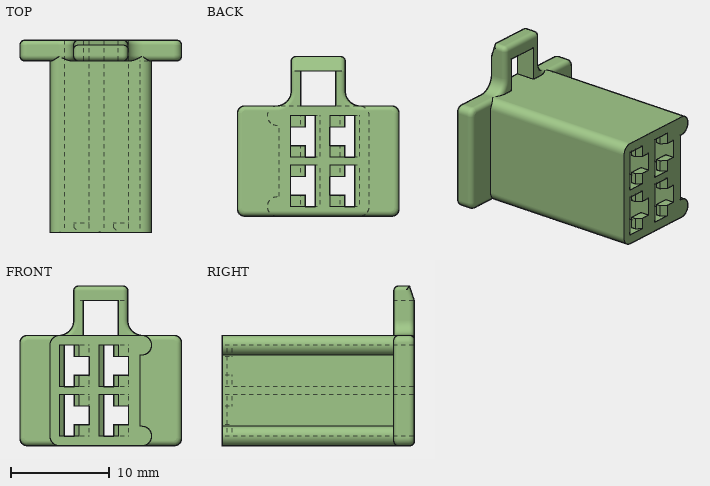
import cadquery as cq


total_length = 19.5
body_width = 10.3
body_height = 11.2
body_corner_radius = 1.0
side_recess_x = 3.98

flange_width = 16.4
flange_thickness = 2.1
flange_corner_radius = 0.76
edge_round = 0.5

tab_width = 5.5
tab_height = 5.01
tab_root_radius = 1.5
tab_slope_height = 1.5
tab_slope_depth = 0.5
window_width = 3.51
window_height = 3.51

column_count = 2
row_count = 2
column_pitch = 4.0
row_pitch = 5.01
slot_left_x = -4.2
slot_width = 2.0
slot_height = 4.2
notch_width = 1.0
notch_height = 1.9
lead_in = 0.5
front_wall = 1.0

body_half = body_width / 2
flange_half = flange_width / 2
tab_half = tab_width / 2
root_half = tab_half + tab_root_radius
root_top = body_height + tab_root_radius
total_height = body_height + tab_height
flange_front = total_length - flange_thickness
slope_bottom = total_height - tab_slope_height
slope_crest_y = total_length - tab_slope_depth
first_slot_z = (body_height - (row_count - 1) * row_pitch - slot_height) / 2

margin = 0.02


def block(x_range, y_range, z_range):
    """Axis-aligned block between the given limits."""
    ranges = (x_range, y_range, z_range)
    sizes = [high - low for low, high in ranges]
    corner = tuple(low for low, _ in ranges)
    return cq.Workplane("XY").box(*sizes, centered=False).translate(corner)


def edges_between(solid, y_range, z_range):
    """Edges of the solid whose centres lie strictly inside the given Y and Z limits."""
    low = (-flange_width, y_range[0], z_range[0])
    high = (flange_width, y_range[1], z_range[1])
    return solid.edges(cq.selectors.BoxSelector(low, high)).vals()


def make_plate():
    """Flange and tab as one plate, with concave arcs where the tab meets the flange."""
    return (
        cq.Workplane("XZ", origin=(0, total_length, 0))
        .moveTo(-flange_half, 0)
        .lineTo(flange_half, 0)
        .lineTo(flange_half, body_height)
        .lineTo(root_half, body_height)
        .radiusArc((tab_half, root_top), tab_root_radius)
        .lineTo(tab_half, total_height)
        .lineTo(-tab_half, total_height)
        .lineTo(-tab_half, root_top)
        .radiusArc((-root_half, body_height), tab_root_radius)
        .lineTo(-flange_half, body_height)
        .close()
        .extrude(flange_thickness)
        .edges("|Y")
        .edges("<X or >X")
        .fillet(flange_corner_radius)
    )


def make_back_slope():
    """Wedge removed from the upper back of the tab."""
    return (
        cq.Workplane("YZ", origin=(-tab_half, 0, 0))
        .moveTo(total_length, slope_bottom)
        .lineTo(total_length, total_height)
        .lineTo(slope_crest_y, total_height)
        .close()
        .extrude(tab_width)
    )


def make_tab_corner_waste():
    """Material outside the two rounded upper corners of the tab."""
    limits = (flange_front, total_length), (slope_bottom, total_height)
    square_top = block((-tab_half, tab_half), *limits)
    round_top = square_top.faces(">Z").edges("|Y").fillet(edge_round)
    return square_top.cut(round_top)


def make_flange():
    """Flange with its sloped and rounded latch tab and the latch window."""
    flange = make_plate().cut(make_back_slope())

    slope_sides = edges_between(
        flange,
        (slope_crest_y + margin, total_length - margin),
        (slope_bottom, total_height),
    )
    back_outline = edges_between(
        flange,
        (total_length - margin, total_length + margin),
        (-margin, slope_bottom - margin),
    )
    flange = flange.newObject(slope_sides + back_outline).fillet(edge_round)

    flange = flange.cut(make_tab_corner_waste())
    flange = flange.faces("<Y").edges().fillet(edge_round)

    window = block(
        (-window_width / 2, window_width / 2),
        (flange_front, total_length),
        (body_height, body_height + window_height),
    )
    return flange.cut(window)


def make_body():
    """Housing body with rounded left corners and a right side recessed between two round lips."""
    radius = body_corner_radius
    lip_depth = 2 * radius
    arc_x = body_half - radius
    return (
        cq.Workplane("XZ")
        .moveTo(-arc_x, 0)
        .lineTo(arc_x, 0)
        .threePointArc((body_half, radius), (arc_x, lip_depth))
        .lineTo(side_recess_x, lip_depth)
        .lineTo(side_recess_x, body_height - lip_depth)
        .lineTo(arc_x, body_height - lip_depth)
        .threePointArc((body_half, body_height - radius), (arc_x, body_height))
        .lineTo(-arc_x, body_height)
        .radiusArc((-body_half, body_height - radius), -radius)
        .lineTo(-body_half, radius)
        .radiusArc((-arc_x, 0), -radius)
        .close()
        .extrude(-(total_length - edge_round))
    )


def make_cavity():
    """Stepped entry through the front wall, opening into a chamber that runs out of the back."""
    throat_right = slot_width - lead_in
    cavity_right = slot_width + notch_width
    notch_bottom = (slot_height - notch_height) / 2
    slot = (
        cq.Workplane("XY")
        .moveTo(0, 0)
        .lineTo(slot_width, 0)
        .lineTo(throat_right, lead_in)
        .lineTo(throat_right, front_wall)
        .lineTo(lead_in, front_wall)
        .lineTo(lead_in, lead_in)
        .close()
        .extrude(slot_height)
    )
    notch = block(
        (lead_in, cavity_right),
        (0, front_wall),
        (notch_bottom, notch_bottom + notch_height),
    )
    chamber = block((lead_in, cavity_right), (front_wall, total_length), (0, slot_height))
    return slot.union(notch).union(chamber)


result = make_flange().union(make_body())
cavity = make_cavity()
for column in range(column_count):
    for row in range(row_count):
        cavity_x = slot_left_x + column * column_pitch
        cavity_z = first_slot_z + row * row_pitch
        result = result.cut(cavity.translate((cavity_x, 0, cavity_z)))